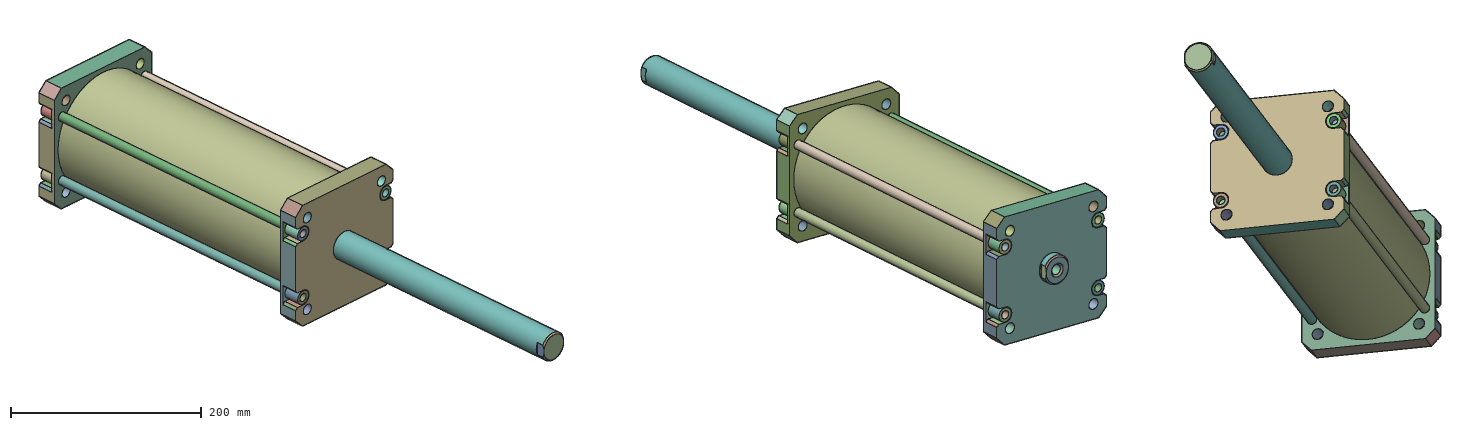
import cadquery as cq
import math

overall_length = 698.0
plate_side = 145.0
plate_corner_chamfer = 10.5
rear_plate_thickness = 23.0
front_plate_thickness = 22.0
barrel_length = 333.5
barrel_diameter = 134.0
rear_rod_projection = 10.0

mounting_hole_diameter = 12.0
mounting_hole_offset = 55.0

tie_rod_diameter = 10.5
tie_rod_y = 61.5
tie_rod_z = 38.5
head_diameter = 16.0
head_length = 19.0
slot_width = 17.5
slot_mouth_chamfer = 3.0
socket_diameter = 9.0
socket_depth = 10.0

piston_rod_diameter = 33.0
wrench_flat_width = 29.0
rear_flat_length = 8.5
front_flat_length = 10.0
rod_end_chamfer = 1.7
rear_bore_diameter = 11.0
rear_bore_depth = 28.0
rear_bore_chamfer = 2.0
drill_tip_angle = 118.0

rear_end = -overall_length / 2
front_end = overall_length / 2
rear_plate_face = rear_end + rear_rod_projection
barrel_start = rear_plate_face + rear_plate_thickness
barrel_end = barrel_start + barrel_length
front_plate_face = barrel_end + front_plate_thickness
head_seat_rear = rear_plate_face + head_length
head_seat_front = front_plate_face - head_length

mounting_hole_centres = [
    (side_y * mounting_hole_offset, side_z * mounting_hole_offset)
    for side_y in (-1, 1)
    for side_z in (-1, 1)
]
tie_rod_centres = [
    (side_y * tie_rod_y, side_z * tie_rod_z)
    for side_y in (-1, 1)
    for side_z in (-1, 1)
]


def cross_section(x):
    """Sketch plane across the axis at x, with local axes Y and Z, extruding toward +X."""
    return cq.Workplane("YZ", origin=(x, 0, 0))


def cylinder(diameter, start, end, y=0.0, z=0.0):
    return cross_section(start).center(y, z).circle(diameter / 2).extrude(end - start)


def head_slot(start, y, z):
    """Round-ended slot for a tie rod head, opening through the nearest Y side with a chamfered mouth."""
    round_end = cylinder(slot_width, start, start + head_length, y, z)
    mouth_y = math.copysign(plate_side / 2, y)
    flare_y = math.copysign(plate_side / 2 - slot_mouth_chamfer, y)
    half_width = slot_width / 2
    half_mouth = half_width + slot_mouth_chamfer
    mouth = (
        cross_section(start)
        .moveTo(y, z - half_width)
        .lineTo(flare_y, z - half_width)
        .lineTo(mouth_y, z - half_mouth)
        .lineTo(mouth_y, z + half_mouth)
        .lineTo(flare_y, z + half_width)
        .lineTo(y, z + half_width)
        .close()
        .extrude(head_length)
    )
    return round_end.union(mouth)


def make_end_plate(start, thickness, slot_start):
    end = start + thickness
    plate = (
        cross_section(start)
        .rect(plate_side, plate_side)
        .extrude(thickness)
        .edges("|X")
        .chamfer(plate_corner_chamfer)
    )
    plate = plate.cut(cylinder(piston_rod_diameter, start, end))
    for y, z in mounting_hole_centres:
        plate = plate.cut(cylinder(mounting_hole_diameter, start, end, y, z))
    for y, z in tie_rod_centres:
        plate = plate.cut(cylinder(tie_rod_diameter, start, end, y, z))
        plate = plate.cut(head_slot(slot_start, y, z))
    return plate


def make_barrel():
    barrel = cylinder(barrel_diameter, barrel_start, barrel_end)
    return barrel.cut(cylinder(piston_rod_diameter, barrel_start, barrel_end))


def make_tie_rod(y, z):
    rod = cylinder(tie_rod_diameter, head_seat_rear, head_seat_front, y, z)
    rod = rod.union(cylinder(head_diameter, rear_plate_face, head_seat_rear, y, z))
    rod = rod.union(cylinder(head_diameter, head_seat_front, front_plate_face, y, z))
    rod = rod.cut(cylinder(socket_diameter, rear_plate_face, rear_plate_face + socket_depth, y, z))
    return rod.cut(cylinder(socket_diameter, front_plate_face - socket_depth, front_plate_face, y, z))


def wrench_flat_cuts(start, length):
    """Two blocks that leave flats on the -Y and +Y sides of the piston rod."""
    block_depth = piston_rod_diameter
    block_y = wrench_flat_width / 2 + block_depth / 2
    return (
        cross_section(start)
        .pushPoints([(-block_y, 0), (block_y, 0)])
        .rect(block_depth, piston_rod_diameter)
        .extrude(length)
    )


def rear_bore():
    """Chamfered axial hole with a conical drill tip, as a revolved half profile."""
    bore_radius = rear_bore_diameter / 2
    bore_end = rear_end + rear_bore_depth
    tip_length = bore_radius / math.tan(math.radians(drill_tip_angle / 2))
    return (
        cq.Workplane("XY")
        .moveTo(rear_end, 0)
        .lineTo(rear_end, bore_radius + rear_bore_chamfer)
        .lineTo(rear_end + rear_bore_chamfer, bore_radius)
        .lineTo(bore_end, bore_radius)
        .lineTo(bore_end + tip_length, 0)
        .close()
        .revolve(360, (0, 0, 0), (1, 0, 0))
    )


def make_piston_rod():
    rod = cylinder(piston_rod_diameter, rear_end, front_end)
    rod = rod.faces("<X or >X").chamfer(rod_end_chamfer)
    rod = rod.cut(wrench_flat_cuts(rear_end, rear_flat_length))
    rod = rod.cut(wrench_flat_cuts(front_end - front_flat_length, front_flat_length))
    return rod.cut(rear_bore())


rear_plate = make_end_plate(rear_plate_face, rear_plate_thickness, rear_plate_face)
front_plate = make_end_plate(barrel_end, front_plate_thickness, head_seat_front)
barrel = make_barrel()
piston_rod = make_piston_rod()
tie_rods = [make_tie_rod(y, z) for y, z in tie_rod_centres]

result = cq.Compound.makeCompound(
    [
        rear_plate.val(),
        front_plate.val(),
        barrel.val(),
        piston_rod.val(),
        *[tie_rod.val() for tie_rod in tie_rods],
    ]
)